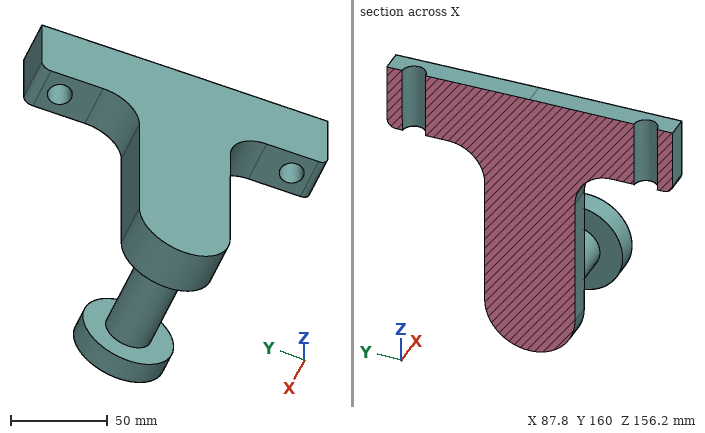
import cadquery as cq

bar_length = 160.0
height = 156.2
top_drop = 0.5
plate_thickness = 24.3
bar_depth = 37.8
stem_width = 50.9
inner_radius = 20.3
corner_radius = 5.1
rod_diameter = 25.5
rod_length = 50.9
head_diameter = 50.9
head_thickness = 12.6
hole_diameter = 12.8
hole_spacing = 129.8

half_length = bar_length / 2
stem_radius = stem_width / 2
top_z = height - stem_radius
bar_bottom_z = top_z - bar_depth


def make_plate():
    """T-shaped plate with a round lower end."""
    plate = (
        cq.Workplane("YZ")
        .moveTo(0, top_z)
        .lineTo(half_length, top_z - top_drop)
        .lineTo(half_length, bar_bottom_z)
        .lineTo(stem_radius, bar_bottom_z)
        .lineTo(stem_radius, 0)
        .threePointArc((0, -stem_radius), (-stem_radius, 0))
        .lineTo(-stem_radius, bar_bottom_z)
        .lineTo(-half_length, bar_bottom_z)
        .lineTo(-half_length, top_z)
        .close()
        .extrude(plate_thickness)
    )
    for side in (-1, 1):
        for y, radius in ((stem_radius, inner_radius), (half_length, corner_radius)):
            corner = (plate_thickness / 2, side * y, bar_bottom_z)
            edge = cq.selectors.NearestToPointSelector(corner)
            plate = plate.edges("|X").edges(edge).fillet(radius)
    return plate


def make_peg():
    """Round rod with a wider disc head, standing on the plate's front face."""
    return (
        cq.Workplane("YZ", origin=(plate_thickness, 0, 0))
        .circle(rod_diameter / 2)
        .extrude(rod_length)
        .faces(">X")
        .workplane()
        .circle(head_diameter / 2)
        .extrude(head_thickness)
    )


def make_holes():
    """Vertical mounting holes through the bar, one near each end."""
    return (
        cq.Workplane("XY", origin=(plate_thickness / 2, 0, bar_bottom_z))
        .pushPoints([(0, -hole_spacing / 2), (0, hole_spacing / 2)])
        .circle(hole_diameter / 2)
        .extrude(bar_depth)
    )


result = make_plate().cut(make_holes()).union(make_peg())